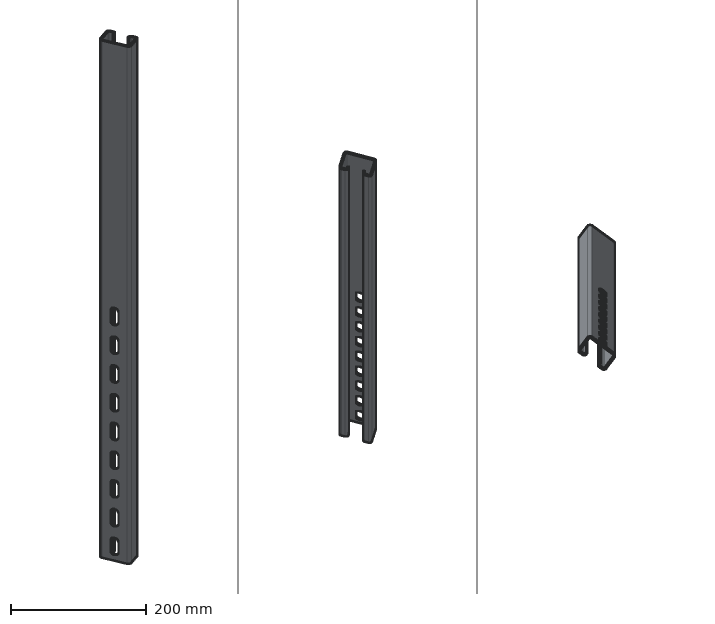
import cadquery as cq
import math

width = 50.0
depth = 30.0
length = 900.0

thickness = 2.7
opening = 22.0
lip_depth = 7.0
web_bend_radius = 5.0
lip_bend_radius = 4.0

slot_width = 13.0
slot_length = 30.0
slot_pitch = 50.0
slot_count = 9
first_slot_height = slot_pitch / 2


def block(x_size, y_size, y_start):
    """Full-length block centred on X, with its near side at y_start."""
    return (
        cq.Workplane("XY")
        .rect(x_size, y_size)
        .extrude(length)
        .translate((0, y_start + y_size / 2, 0))
    )


def rounded_block(inset):
    """Channel envelope shrunk by inset, with its long edges rounded."""
    envelope = block(width - 2 * inset, depth - 2 * inset, inset)
    envelope = envelope.edges("|Z and <Y").fillet(web_bend_radius - inset)
    return envelope.edges("|Z and >Y").fillet(lip_bend_radius - inset)


def lip(side):
    """Inward-turned lip beside the opening; side is -1 or +1 along X."""
    outer_radius = lip_bend_radius
    inner_radius = lip_bend_radius - thickness
    free_edge = opening / 2
    inner_face = free_edge + thickness
    bend_x = free_edge + outer_radius
    bend_y = depth - outer_radius
    diagonal = math.sqrt(0.5)
    return (
        cq.Workplane("XY")
        .moveTo(side * free_edge, depth - lip_depth)
        .lineTo(side * free_edge, bend_y)
        .threePointArc(
            (side * (bend_x - diagonal * outer_radius), bend_y + diagonal * outer_radius),
            (side * bend_x, depth),
        )
        .lineTo(side * bend_x, depth - thickness)
        .threePointArc(
            (side * (bend_x - diagonal * inner_radius), bend_y + diagonal * inner_radius),
            (side * inner_face, bend_y),
        )
        .lineTo(side * inner_face, depth - lip_depth)
        .close()
        .extrude(length)
    )


def make_channel():
    """Bent C-profile, open toward +Y with a lip on both sides of the opening."""
    shell = rounded_block(0).cut(rounded_block(thickness))
    lip_bend_span = opening + 2 * lip_bend_radius
    shell = shell.cut(block(lip_bend_span, depth / 2, depth / 2))
    for side in (-1, 1):
        shell = shell.union(lip(side))
    return shell


def make_slots():
    """Round-ended slot cutters passing through the web only."""
    centres = [(0, first_slot_height + i * slot_pitch) for i in range(slot_count)]
    return (
        cq.Workplane("XZ")
        .pushPoints(centres)
        .slot2D(slot_length, slot_width, 90)
        .extrude(-2 * thickness)
    )


result = make_channel().cut(make_slots())